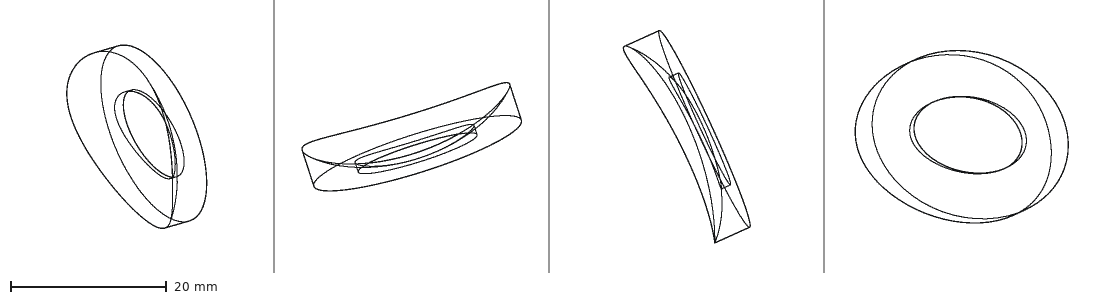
import cadquery as cq
import math

length = 28.0
height = 22.0
depth = 5.0
hole_length = 16.02
hole_height = 10.0
margin = 0.55

bowl_radius = 16.0
rim_radius = length / 2
bowl_depth = depth / (1 - math.sqrt(1 - (rim_radius / bowl_radius) ** 2))


def wall_thickness(radius):
    """Distance from the back plane to the dish at a given radius from the Y axis."""
    return bowl_depth * (1 - math.sqrt(1 - (radius / bowl_radius) ** 2))


def dished_disc():
    """Round annular blank with a flat back and the dished front."""
    inner = hole_height / 2 - margin
    outer = rim_radius + margin

    def dish_point(t):
        radius = inner + (outer - inner) * t
        return (radius, -wall_thickness(radius))

    return (
        cq.Workplane("XY")
        .moveTo(inner, 0)
        .lineTo(*dish_point(0))
        .parametricCurve(dish_point, N=40, makeWire=False)
        .lineTo(outer, 0)
        .close()
        .revolve(360, (0, 0, 0), (0, 1, 0))
    )


def oval_prism(oval_length, oval_height):
    """Elliptical prism along Y, longer than the blank at both ends."""
    return (
        cq.Workplane("XZ", origin=(0, margin, 0))
        .ellipse(oval_length / 2, oval_height / 2)
        .extrude(depth + 3 * margin)
    )


oval = dished_disc().intersect(oval_prism(length, height))
result = oval.cut(oval_prism(hole_length, hole_height))